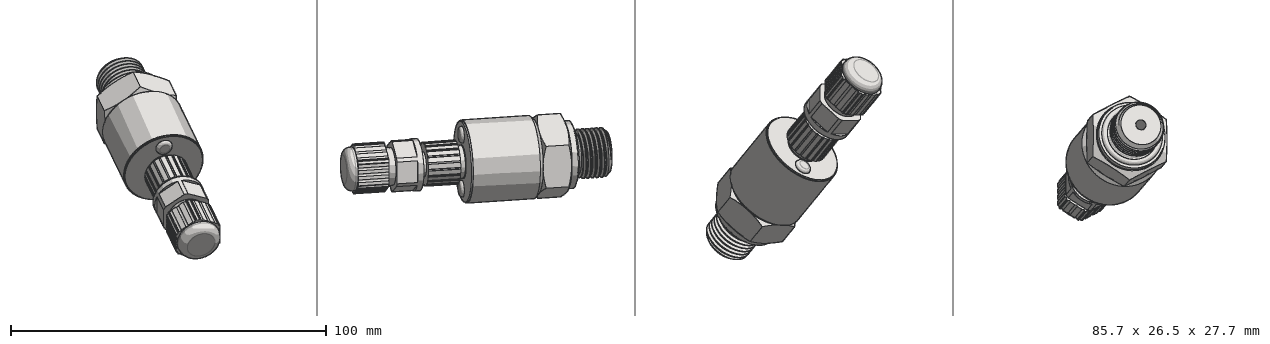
import cadquery as cq
import math


thread_diameter = 15.9
thread_root_diameter = 14.15
four_turn_advance = 6.0
thread_pitch = four_turn_advance / 4
thread_phase = 0.9
crest_width = 0.3
root_width = 0.2
port_end_diameter = 13.0
relief_cone_start = 9.4
relief_cone_end = 9.95
port_bore_diameter = 3.3
port_bore_depth = 10.3

collar_face = 12.0
collar_diameter = 21.6
bead_mid_diameter = 17.75
bead_width = 2.1
bead_height = 0.8
land_face = 11.3
land_diameter = 16.3
land_fillet = 1.0

hex_start = 14.1
hex_end = 23.7
hex_corner_diameter = 27.7
hex_flats = hex_corner_diameter * math.cos(math.pi / 6)
hex_front_rim_diameter = 22.3
hex_front_chamfer = 1.3
hex_rear_rim_diameter = 24.2
hex_rear_chamfer = 0.95

sleeve_diameter = 26.5
sleeve_chamfer = 1.2
cover_start = 46.6
cover_end = 47.15
cover_diameter = 25.8
spigot_diameter = 10.7
spigot_length = 0.3

screw_head_diameter = 5.4
screw_head_height = 1.1
screw_head_round = 1.0
screw_offset = 8.9

connector_start = cover_end + spigot_length
stem_diameter = 10.6
ring_start = 49.3
ring_end = 59.8
ring_start_diameter = 14.15
ring_end_diameter = 14.0
ring_groove_count = 20
ring_groove_width = 0.5
ring_groove_depth = 0.3
neck_diameter = 8.0

gland_start = 61.6
gland_hex_start = 63.45
gland_hex_end = 70.1
gland_diameter = 16.6
gland_hex_flats = 15.0
gland_neck_diameter = 12.0

cap_start = 72.6
cap_end = 82.65
cap_flats = 14.7
cap_corner_diameter = 16.2
cap_groove_diameter = 1.0
cap_groove_rise = 0.3
cap_side_groove_pitch = 2.0
cap_slant_groove_pitch = 2.7
dome_diameter = 14.0
dome_radius = 2.4
overall_length = 85.7


def cylinder(start, end, diameter):
    return cq.Workplane("YZ", origin=(start, 0, 0)).circle(diameter / 2).extrude(end - start)


def hexagon(start, end, flats):
    """Hexagonal prism along X with flats square to Y and corners at +Z and -Z."""
    corner_diameter = flats / math.cos(math.pi / 6)
    prism = cq.Workplane("YZ", origin=(start, 0, 0)).polygon(6, corner_diameter).extrude(end - start)
    return prism.rotate((0, 0, 0), (1, 0, 0), 90)


def turned(points):
    """Solid of revolution about X from (x, radius) points, closed along the axis."""
    outline = [(points[0][0], 0), *points, (points[-1][0], 0)]
    return cq.Workplane("XY").polyline(outline).close().revolve(360, (0, 0, 0), (1, 0, 0))


def thread_groove():
    """Right-handed V groove that is cut into the port thread."""
    crest_radius = thread_diameter / 2
    root_radius = thread_root_diameter / 2
    clearance = 0.2
    flank_half = (thread_pitch - crest_width) / 2
    flank_slope = (flank_half - root_width / 2) / (crest_radius - root_radius)
    outer_half = flank_half + clearance * flank_slope
    outer_radius = crest_radius + clearance
    turns = math.ceil(relief_cone_end / thread_pitch) + 1
    path = cq.Wire.makeHelix(thread_pitch, turns * thread_pitch, root_radius)
    profile = cq.Workplane("XZ").polyline([
        (root_radius, -root_width / 2),
        (outer_radius, -outer_half),
        (outer_radius, outer_half),
        (root_radius, root_width / 2),
    ]).close()
    groove = profile.sweep(cq.Workplane(path), isFrenet=True)
    groove = groove.rotate((0, 0, 0), (0, 1, 0), 90).rotate((0, 0, 0), (1, 0, 0), 180)
    return groove.translate((thread_phase - thread_pitch, 0, 0))


def make_port():
    crest_radius = thread_diameter / 2
    end_radius = port_end_diameter / 2
    envelope = turned([
        (0, end_radius),
        (crest_radius - end_radius, crest_radius),
        (relief_cone_start, crest_radius),
        (relief_cone_end, end_radius),
    ])
    threaded_rod = cylinder(-thread_pitch, relief_cone_end + thread_pitch, thread_diameter)
    port = threaded_rod.cut(thread_groove()).intersect(envelope)
    return port.union(cylinder(relief_cone_end, land_face, port_end_diameter))


def make_collar():
    bead_mid = bead_mid_diameter / 2
    neck_radius = port_end_diameter / 2
    fillet_start = land_face - land_fillet
    fillet_top = neck_radius + land_fillet
    fillet_reach = land_fillet * math.sin(math.pi / 4)
    bead_radius = ((bead_width / 2) ** 2 + bead_height ** 2) / (2 * bead_height)
    bead_centre_x = collar_face - bead_height + bead_radius
    land_radius = land_diameter / 2
    bead_inner_x = bead_centre_x - math.sqrt(bead_radius ** 2 - (bead_mid - land_radius) ** 2)
    return (
        cq.Workplane("XY")
        .moveTo(fillet_start, 0)
        .lineTo(fillet_start, neck_radius)
        .threePointArc((fillet_start + fillet_reach, fillet_top - fillet_reach), (land_face, fillet_top))
        .lineTo(land_face, land_radius)
        .lineTo(bead_inner_x, land_radius)
        .threePointArc((collar_face - bead_height, bead_mid), (collar_face, bead_mid + bead_width / 2))
        .lineTo(collar_face, collar_diameter / 2)
        .lineTo(hex_start, collar_diameter / 2)
        .lineTo(hex_start, 0)
        .close()
        .revolve(360, (0, 0, 0), (1, 0, 0))
    )


def make_wrench_hex():
    corner_radius = hex_corner_diameter / 2
    chamfer_envelope = turned([
        (hex_start, hex_front_rim_diameter / 2),
        (hex_start + hex_front_chamfer, corner_radius),
        (hex_end - hex_rear_chamfer, corner_radius),
        (hex_end, hex_rear_rim_diameter / 2),
    ])
    return hexagon(hex_start, hex_end, hex_flats).intersect(chamfer_envelope)


def make_sleeve():
    sleeve_radius = sleeve_diameter / 2
    sleeve = turned([
        (hex_end, sleeve_radius - sleeve_chamfer),
        (hex_end + sleeve_chamfer, sleeve_radius),
        (cover_start, sleeve_radius),
    ])
    cover = cylinder(cover_start, cover_end, cover_diameter)
    spigot = cylinder(cover_end, connector_start, spigot_diameter)
    return sleeve.union(cover).union(spigot)


def make_housing():
    housing = make_sleeve().union(make_wrench_hex()).union(make_collar()).union(make_port())
    return housing.cut(cylinder(0, port_bore_depth, port_bore_diameter))


def make_screw(z):
    head = (
        cq.Workplane("YZ", origin=(cover_end, 0, z))
        .circle(screw_head_diameter / 2)
        .extrude(screw_head_height)
    )
    return head.faces(">X").edges().fillet(screw_head_round)


def make_knurled_ring():
    start_radius = ring_start_diameter / 2
    end_radius = ring_end_diameter / 2
    ring = turned([(ring_start, start_radius), (ring_end, end_radius)])
    length = ring_end - ring_start
    taper = math.degrees(math.atan2(start_radius - end_radius, length))
    cutter = (
        cq.Workplane("XY")
        .box(2 * length, ring_groove_width, 2 * ring_groove_depth)
        .rotate((0, 0, 0), (0, 1, 0), taper)
        .translate(((ring_start + ring_end) / 2, 0, (start_radius + end_radius) / 2))
    )
    for index in range(ring_groove_count):
        ring = ring.cut(cutter.rotate((0, 0, 0), (1, 0, 0), index * 360 / ring_groove_count))
    return ring


def make_gland():
    flange = cylinder(gland_start, gland_hex_start, gland_diameter)
    body = hexagon(gland_hex_start, gland_hex_end, gland_hex_flats)
    body = body.intersect(cylinder(gland_hex_start, gland_hex_end, gland_diameter))
    return flange.union(body).union(cylinder(gland_hex_end, cap_start, gland_neck_diameter))


def cap_groove(offset, distance, angle):
    """Round groove cutter on the -Y side, moved along Z by offset and turned about X by angle."""
    cutter = cylinder(cap_start, cap_end, cap_groove_diameter).translate((0, -distance, offset))
    return cutter.rotate((0, 0, 0), (1, 0, 0), angle)


def make_cap():
    cap = hexagon(cap_start, cap_end, cap_flats)
    cap = cap.intersect(cylinder(cap_start, cap_end, cap_corner_diameter))
    flat_distance = cap_flats / 2 + cap_groove_rise
    corner_distance = cap_corner_diameter / 2 + cap_groove_rise
    for face in range(6):
        angle = face * 60
        pitch = cap_side_groove_pitch if face in (0, 3) else cap_slant_groove_pitch
        for offset in (-pitch, 0, pitch):
            cap = cap.cut(cap_groove(offset, flat_distance, angle))
        cap = cap.cut(cap_groove(0, corner_distance, angle + 30))
    return cap


def make_dome():
    return cylinder(cap_end, overall_length, dome_diameter).faces(">X").edges().fillet(dome_radius)


def make_connector():
    stem = cylinder(connector_start, ring_start, stem_diameter)
    neck = cylinder(ring_end, gland_start, neck_diameter)
    connector = stem.union(make_knurled_ring()).union(neck)
    return connector.union(make_gland()).union(make_cap()).union(make_dome())


housing = make_housing()
screws = [make_screw(z) for z in (-screw_offset, screw_offset)]
connector = make_connector()

result = cq.Compound.makeCompound([
    housing.val(),
    *[screw.val() for screw in screws],
    connector.val(),
])